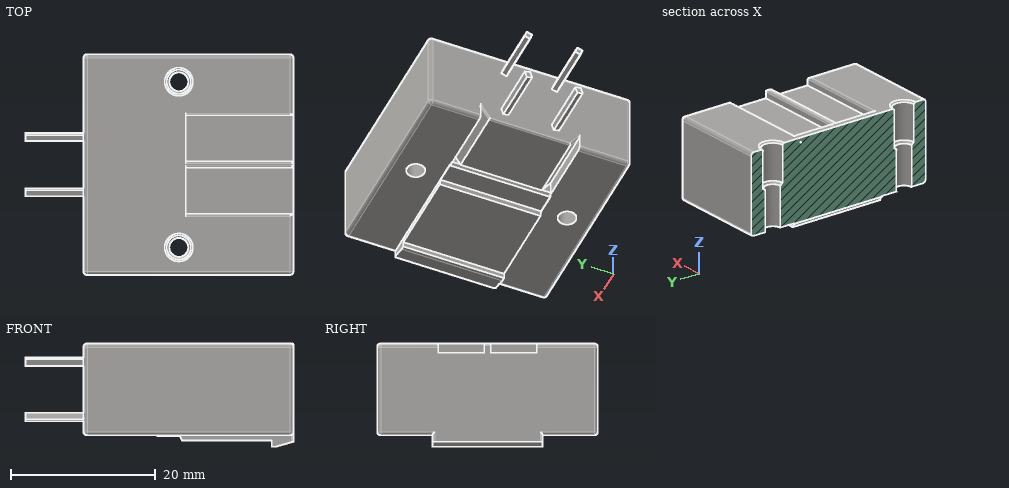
import cadquery as cq

TOTAL_LENGTH = 37.0
PIN_LENGTH = 8.0
BODY_WIDTH = 30.5
BODY_HEIGHT = 12.7
BODY_EDGE_RADIUS = 0.5

PIN_PITCH = 7.62
PIN_THICKNESS = 0.85
PIN_DEPTH = 1.0
PIN_TURN = 18.0
PIN_EMBED = 0.75

HOLE_X = 21.15
HOLE_SPACING = 22.85
HOLE_TOP_DIAMETER = 3.33
HOLE_BOTTOM_DIAMETER = 2.6
HOLE_MOUTH_DIAMETER = 3.9
HOLE_MOUTH_DEPTH = (HOLE_MOUTH_DIAMETER - HOLE_TOP_DIAMETER) / 2
HOLE_SHOULDER_Z = BODY_HEIGHT / 2
HOLE_SHOULDER_HEIGHT = (HOLE_TOP_DIAMETER - HOLE_BOTTOM_DIAMETER) / 2

RECESS_START_X = 22.1
RECESS_WIDTH = 13.6
RECESS_DEPTH = 1.25
RECESS_EDGE_RADIUS = 0.3
RIB_WIDTH = 0.9
RIB_EDGE_RADIUS = 0.25

CHANNEL_WIDTH = 14.95
CHANNEL_LENGTH = 10.25
CHANNEL_END_X = PIN_LENGTH + CHANNEL_LENGTH
CHANNEL_HEIGHT = 2.95
KEEL_BOTTOM_Z = 0.22
KEEL_BOTTOM_WIDTH = 12.3
KEEL_FLANK_TOP_Z = 2.2
KEEL_EDGE_RADIUS = 0.22

LATCH_WIDTH = 15.2
LATCH_PAD_Z = -0.1
LATCH_BEVEL_LENGTH = 0.45
LATCH_BEVEL_HEIGHT = 0.37
LATCH_START_X = CHANNEL_END_X - LATCH_BEVEL_LENGTH
LATCH_STEP_START_X = 21.3
LATCH_STEP_END_X = 21.6
LATCH_ARM_Z = -0.75
HOOK_START_X = 33.95
HOOK_FLAT_END_X = 34.52
HOOK_TIP_Z = -1.6
HOOK_NOSE_Z = -0.9
LATCH_END_RADIUS = 0.3


def box(x_min, x_max, y_center, y_width, z_min, z_max):
    """Block spanning the given X and Z limits, centred on y_center."""
    return (
        cq.Workplane("XY")
        .box(x_max - x_min, y_width, z_max - z_min, centered=(False, True, False))
        .translate((x_min, y_center, z_min))
    )


def make_body():
    """Rectangular housing with every edge rounded."""
    body = box(PIN_LENGTH, TOTAL_LENGTH, 0, BODY_WIDTH, 0, BODY_HEIGHT)
    return body.edges().fillet(BODY_EDGE_RADIUS)


def make_recess():
    """Recess volume, flared where its long walls meet the top face."""
    half_width = RECESS_WIDTH / 2
    half_mouth = half_width + RECESS_EDGE_RADIUS
    floor_z = BODY_HEIGHT - RECESS_DEPTH
    flare_z = BODY_HEIGHT - RECESS_EDGE_RADIUS
    profile = (
        cq.Workplane("YZ", origin=(RECESS_START_X, 0, 0))
        .moveTo(-half_width, floor_z)
        .lineTo(half_width, floor_z)
        .lineTo(half_width, flare_z)
        .radiusArc((half_mouth, BODY_HEIGHT), RECESS_EDGE_RADIUS)
        .lineTo(-half_mouth, BODY_HEIGHT)
        .radiusArc((-half_width, flare_z), RECESS_EDGE_RADIUS)
        .close()
    )
    return profile.extrude(TOTAL_LENGTH - RECESS_START_X)


def make_rib():
    """Central rib of the recess, its top rounded along both sides and at the open end."""
    floor_z = BODY_HEIGHT - RECESS_DEPTH
    rib = box(RECESS_START_X, TOTAL_LENGTH, 0, RIB_WIDTH, floor_z, BODY_HEIGHT)
    return rib.faces(">Z").edges("|X or >X").fillet(RIB_EDGE_RADIUS)


def make_hole(y_center):
    """Mounting hole that steps down to its smaller diameter over a 45 degree shoulder."""
    profile = (
        cq.Workplane("XZ")
        .moveTo(0, 0)
        .lineTo(HOLE_BOTTOM_DIAMETER / 2, 0)
        .lineTo(HOLE_BOTTOM_DIAMETER / 2, HOLE_SHOULDER_Z)
        .lineTo(HOLE_TOP_DIAMETER / 2, HOLE_SHOULDER_Z + HOLE_SHOULDER_HEIGHT)
        .lineTo(HOLE_TOP_DIAMETER / 2, BODY_HEIGHT - HOLE_MOUTH_DEPTH)
        .lineTo(HOLE_MOUTH_DIAMETER / 2, BODY_HEIGHT)
        .lineTo(0, BODY_HEIGHT)
        .close()
    )
    hole = profile.revolve(360, (0, 0, 0), (0, 1, 0))
    return hole.translate((HOLE_X, y_center, 0))


def make_keel():
    """Filling of the channel, undercut on both flanks and rounded at its exposed end."""
    half_bottom = KEEL_BOTTOM_WIDTH / 2
    half_top = CHANNEL_WIDTH / 2
    keel = (
        cq.Workplane("YZ", origin=(PIN_LENGTH, 0, 0))
        .polyline([
            (-half_bottom, KEEL_BOTTOM_Z),
            (half_bottom, KEEL_BOTTOM_Z),
            (half_top, KEEL_FLANK_TOP_Z),
            (half_top, CHANNEL_HEIGHT),
            (-half_top, CHANNEL_HEIGHT),
            (-half_top, KEEL_FLANK_TOP_Z),
        ])
        .close()
        .extrude(CHANNEL_LENGTH)
    )
    margin = KEEL_EDGE_RADIUS / 2
    exposed_edges = cq.selectors.BoxSelector(
        (PIN_LENGTH - margin, margin - half_top, 0),
        (PIN_LENGTH + margin, half_top - margin, KEEL_FLANK_TOP_Z),
    )
    return keel.edges(exposed_edges).fillet(KEEL_EDGE_RADIUS)


def make_latch():
    """Latch pad, arm and hook as one profile across the width, rooted inside the body."""
    profile = (
        cq.Workplane("XZ")
        .moveTo(LATCH_START_X, CHANNEL_HEIGHT)
        .lineTo(LATCH_START_X, LATCH_PAD_Z + LATCH_BEVEL_HEIGHT)
        .lineTo(CHANNEL_END_X, LATCH_PAD_Z)
        .lineTo(LATCH_STEP_START_X, LATCH_PAD_Z)
        .lineTo(LATCH_STEP_END_X, LATCH_ARM_Z)
        .lineTo(HOOK_START_X, LATCH_ARM_Z)
        .lineTo(HOOK_START_X, HOOK_TIP_Z)
        .lineTo(HOOK_FLAT_END_X, HOOK_TIP_Z)
        .lineTo(TOTAL_LENGTH, HOOK_NOSE_Z)
        .lineTo(TOTAL_LENGTH, CHANNEL_HEIGHT)
        .close()
    )
    latch = profile.extrude(LATCH_WIDTH / 2, both=True)
    return latch.edges("|Z and >X").fillet(LATCH_END_RADIUS)


def make_pin(y_side, z_side):
    """Pin of one corner of the square pattern; the upper and lower rows turn opposite ways."""
    pin = cq.Workplane("YZ").rect(PIN_THICKNESS, PIN_DEPTH).extrude(PIN_LENGTH + PIN_EMBED)
    pin = pin.rotate((0, 0, 0), (1, 0, 0), z_side * PIN_TURN)
    offset = PIN_PITCH / 2
    return pin.translate((0, y_side * offset, BODY_HEIGHT / 2 + z_side * offset))


result = make_body().cut(make_recess()).union(make_rib())
result = result.cut(box(PIN_LENGTH, CHANNEL_END_X, 0, CHANNEL_WIDTH, 0, CHANNEL_HEIGHT))
result = result.union(make_keel()).union(make_latch())
for side in (-1, 1):
    result = result.cut(make_hole(side * HOLE_SPACING / 2))
    for row in (-1, 1):
        result = result.union(make_pin(side, row))